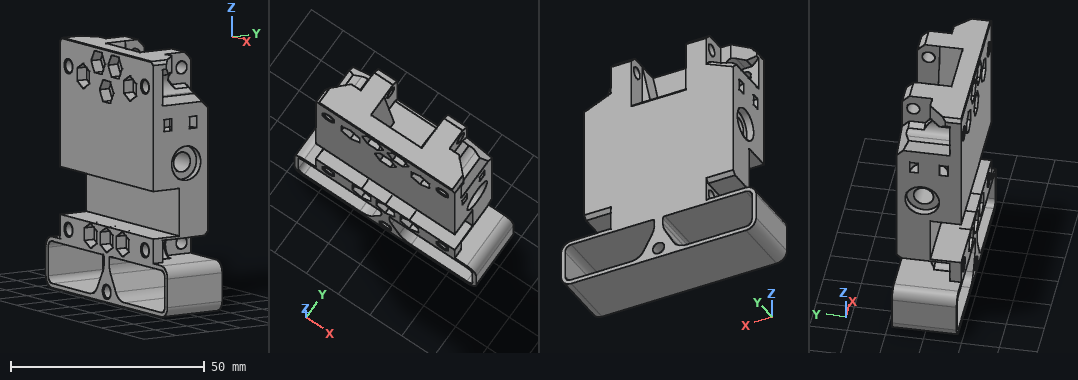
import cadquery as cq
import math

BODY_HALF_WIDTH = 21.9
DEPTH = 17.0
HEIGHT = 66.5
BODY_CORNER_CHAMFER = 0.9
FRONT_EDGE_CHAMFER = 0.2
BACK_EDGE_CHAMFER = 2.0

HANDLE_WIDTH = 57.2
HANDLE_HEIGHT = 13.5
HANDLE_RADIUS = 3.0
HANDLE_WALL = 1.2
RIB_HALF_WIDTH = 1.25
RIB_FLARE_Z = 8.9
RIB_FLARE_ANGLE = 61.0
RIB_FOOT_RADIUS = 4.3
RIB_FLARE_RADIUS = 5.0
RIB_TOP_RADIUS = 0.6

NOTCH_BOTTOM = 19.95
NOTCH_TOP = 32.45
NOTCH_DEPTH = 8.1

SCREW_X = 17.95
UPPER_SCREW_Z = 59.45
LOWER_SCREW_Z = 16.4
HANDLE_SCREW_Z = 2.8
SCREW_DIAMETER = 3.3
SCREW_RIM = 0.25
HEAD_RADIUS = 2.85
PLATE_THICKNESS = 3.0

POST_INNER_X = 8.0
POST_OUTER_X = 13.95
POST_FRONT_Y = 9.05
PIN_Y = 14.0
PIN_DIAMETER = 3.3
UPPER_PIN_Z = 62.5

SLOT_FRONT_Y = 5.05
SLOT_FLOOR_Z = 51.2
SLOT_STEP_Y = 11.05
SLOT_FLOOR_HALF_WIDTH = 4.85

LEAD_IN = 1.05

FLARE = 1.9
FLARE_X = BODY_HALF_WIDTH - FLARE
SHOULDER_POST_Z = 58.3
SHOULDER_FRONT_Y = 10.85
SHOULDER_RAMP_TOP_Z = 60.5
PLATE_BEVEL = 4.9

AXLE_Y = 10.25
AXLE_Z = 38.9
AXLE_DIAMETER = 5.2
AXLE_RECESS_DIAMETER = 9.0
AXLE_RECESS_DEPTH = 2.0
TIE_INNER_RADIUS = 2.8
TIE_OUTER_RADIUS = 5.05
TIE_BOTTOM = 47.9
TIE_HEIGHT = 3.1

NUT_FLATS = 5.7
NUT_DEPTH = 3.0
SIDE_NUT_SPACING = 7.5
UPRIGHT_NUTS = [
    (-11.0, 57.9), (11.0, 57.9),
    (-SIDE_NUT_SPACING, LOWER_SCREW_Z), (0, LOWER_SCREW_Z), (SIDE_NUT_SPACING, LOWER_SCREW_Z),
]
FLAT_NUTS = [(-4.0, 62.5), (4.0, 62.5), (0, 55.45)]

OVER = 3.3


def box(x0, x1, y0, y1, z0, z1):
    return cq.Workplane("XY").box(x1 - x0, y1 - y0, z1 - z0, centered=False).translate((x0, y0, z0))


def along_y(y0):
    """Sketch plane with local (x, y) = (X, Z); a negative extrusion runs towards +Y."""
    return cq.Workplane(cq.Plane(origin=(0, y0, 0), xDir=(1, 0, 0), normal=(0, -1, 0)))


def prism_y(points, y0, y1):
    return along_y(y0).polyline(points).close().extrude(y0 - y1)


def prism_x(points, x0, x1):
    """Prism over a (Y, Z) outline."""
    return cq.Workplane("YZ").workplane(offset=x0).polyline(points).close().extrude(x1 - x0)


def cylinder_y(x, z, radius, y0, y1):
    return along_y(y0).center(x, z).circle(radius).extrude(y0 - y1)


def both_sides(cutter):
    return cutter.union(cutter.mirror("YZ"))


def make_body():
    body = box(-BODY_HALF_WIDTH, BODY_HALF_WIDTH, 0, DEPTH, HANDLE_HEIGHT / 2, HEIGHT)
    body = body.edges("|Y and >Z").chamfer(BODY_CORNER_CHAMFER)
    body = body.faces(">Z").edges("<Y").chamfer(FRONT_EDGE_CHAMFER)
    body = body.faces(">Z").edges(">Y").chamfer(BACK_EDGE_CHAMFER)
    notch = box(-HANDLE_WIDTH, HANDLE_WIDTH, -OVER, NOTCH_DEPTH, NOTCH_BOTTOM, NOTCH_TOP)
    return body.cut(notch)


def make_handle():
    half = HANDLE_WIDTH / 2
    return box(-half, half, 0, DEPTH, 0, HANDLE_HEIGHT).edges("|Y").fillet(HANDLE_RADIUS)


def handle_windows():
    top = HANDLE_HEIGHT - HANDLE_WALL
    outer_x = HANDLE_WIDTH / 2 - HANDLE_WALL
    foot_x = RIB_HALF_WIDTH + (RIB_FLARE_Z - HANDLE_WALL) / math.tan(math.radians(RIB_FLARE_ANGLE))
    window = prism_y(
        [
            (RIB_HALF_WIDTH, top), (RIB_HALF_WIDTH, RIB_FLARE_Z), (foot_x, HANDLE_WALL),
            (outer_x, HANDLE_WALL), (outer_x, top),
        ],
        0, DEPTH,
    )
    window = window.edges("|Y and >X").fillet(HANDLE_RADIUS - HANDLE_WALL)
    rib_corners = [
        (foot_x, HANDLE_WALL, RIB_FOOT_RADIUS),
        (RIB_HALF_WIDTH, RIB_FLARE_Z, RIB_FLARE_RADIUS),
        (RIB_HALF_WIDTH, top, RIB_TOP_RADIUS),
    ]
    for x, z, radius in rib_corners:
        corner = cq.NearestToPointSelector((x, DEPTH / 2, z))
        window = window.edges(corner).fillet(radius)
    return both_sides(window)


def upper_screw_pockets():
    """Screw head room that opens sideways and flares at the side face."""
    head = cylinder_y(SCREW_X, UPPER_SCREW_Z, HEAD_RADIUS, PLATE_THICKNESS, DEPTH)
    end_x = FLARE_X + FLARE + OVER
    end_half = HEAD_RADIUS + FLARE + OVER
    opening = prism_y(
        [
            (SCREW_X, UPPER_SCREW_Z - HEAD_RADIUS), (FLARE_X, UPPER_SCREW_Z - HEAD_RADIUS),
            (end_x, UPPER_SCREW_Z - end_half), (end_x, UPPER_SCREW_Z + end_half),
            (FLARE_X, UPPER_SCREW_Z + HEAD_RADIUS), (SCREW_X, UPPER_SCREW_Z + HEAD_RADIUS),
        ],
        PLATE_THICKNESS, DEPTH + OVER,
    )
    return both_sides(head.union(opening))


def slanted_prism(outline, run, slope):
    """Prism over a (Y, Z) outline, from the outer face of a post outwards and down the slope."""
    face = cq.Workplane("YZ").workplane(offset=POST_OUTER_X).polyline(outline).close().wire().val()
    return cq.Workplane(cq.Solid.extrudeLinear(face, [], cq.Vector(run, 0, -run * slope)))


def shoulder_clearance():
    """Open space beside the upper posts; its floor slopes down to the screw pocket."""
    ledge_z = UPPER_SCREW_Z - HEAD_RADIUS
    slope = (SHOULDER_POST_Z - ledge_z) / (SCREW_X - POST_OUTER_X)

    outline = [
        (POST_FRONT_Y, HEIGHT + OVER), (POST_FRONT_Y, SHOULDER_RAMP_TOP_Z),
        (SHOULDER_FRONT_Y, SHOULDER_POST_Z), (DEPTH + OVER, SHOULDER_POST_Z),
        (DEPTH + OVER, HEIGHT + OVER),
    ]
    run = SCREW_X - POST_OUTER_X
    above = slanted_prism(outline, run, slope)
    outside = box(SCREW_X, BODY_HALF_WIDTH + OVER, POST_FRONT_Y, DEPTH + OVER, ledge_z, HEIGHT + OVER)

    bevel = [
        (DEPTH - BACK_EDGE_CHAMFER - FLARE, SHOULDER_POST_Z + FLARE),
        (DEPTH + OVER, SHOULDER_POST_Z - BACK_EDGE_CHAMFER - OVER),
        (DEPTH + OVER, SHOULDER_POST_Z + FLARE),
    ]
    back_bevel = slanted_prism(bevel, BODY_HALF_WIDTH - POST_OUTER_X + OVER, slope)
    return both_sides(above.union(outside).union(back_bevel))


def plate_bevels():
    """45 degree bevels behind the upper corners of the front plate."""
    inner_x = BODY_HALF_WIDTH - PLATE_BEVEL
    outer_x = BODY_HALF_WIDTH + OVER
    outline = [
        (inner_x, POST_FRONT_Y),
        (outer_x, POST_FRONT_Y - PLATE_BEVEL - OVER),
        (outer_x, POST_FRONT_Y),
    ]
    bevel = cq.Workplane("XY").workplane(offset=UPPER_SCREW_Z).polyline(outline).close()
    return both_sides(bevel.extrude(HEIGHT - UPPER_SCREW_Z))


def lower_screw_pockets():
    """Screw head room and open space beside the lower posts."""
    roof_z = LOWER_SCREW_Z + HEAD_RADIUS
    side = BODY_HALF_WIDTH + OVER
    post_gap = SCREW_X - POST_OUTER_X
    cone_length = post_gap - HEAD_RADIUS
    head = cylinder_y(SCREW_X, LOWER_SCREW_Z, HEAD_RADIUS, PLATE_THICKNESS, DEPTH)
    opening = box(SCREW_X, side, PLATE_THICKNESS, DEPTH, HANDLE_HEIGHT, roof_z)
    beside_post = box(POST_OUTER_X, side, POST_FRONT_Y, DEPTH, HANDLE_HEIGHT, roof_z)
    cone = cq.Workplane(
        cq.Solid.makeCone(
            HEAD_RADIUS, post_gap, cone_length,
            cq.Vector(SCREW_X, POST_FRONT_Y - cone_length, LOWER_SCREW_Z), cq.Vector(0, 1, 0),
        )
    )
    roof_bevel = prism_x(
        [(DEPTH, roof_z), (DEPTH - LEAD_IN, roof_z), (DEPTH, roof_z + LEAD_IN)],
        POST_OUTER_X, side,
    )
    space = box(0, side, 0, DEPTH, HANDLE_HEIGHT, roof_z)
    pocket = head.union(opening).union(beside_post).union(cone).intersect(space)
    return both_sides(pocket.union(roof_bevel))


def post_slot():
    back = box(-POST_INNER_X, POST_INNER_X, SLOT_STEP_Y, DEPTH, SLOT_FLOOR_Z, HEIGHT)
    front = prism_y(
        [
            (-SLOT_FLOOR_HALF_WIDTH, SLOT_FLOOR_Z), (SLOT_FLOOR_HALF_WIDTH, SLOT_FLOOR_Z),
            (POST_INNER_X, HEIGHT), (-POST_INNER_X, HEIGHT),
        ],
        SLOT_FRONT_Y, SLOT_STEP_Y,
    )
    lead_in = prism_x(
        [(DEPTH, SLOT_FLOOR_Z), (DEPTH - LEAD_IN, SLOT_FLOOR_Z), (DEPTH, SLOT_FLOOR_Z - LEAD_IN)],
        -POST_INNER_X, POST_INNER_X,
    )
    return back.union(front).union(lead_in)


def screw_hole(x, z):
    rim = cq.Solid.makeCone(
        SCREW_DIAMETER / 2 + SCREW_RIM, SCREW_DIAMETER / 2, SCREW_RIM,
        cq.Vector(x, 0, z), cq.Vector(0, 1, 0),
    )
    return cylinder_y(x, z, SCREW_DIAMETER / 2, 0, DEPTH).union(cq.Workplane(rim))


def hole_x(y, z, diameter, x0, x1):
    return cq.Workplane("YZ").workplane(offset=x0).center(y, z).circle(diameter / 2).extrude(x1 - x0)


def axle_hole():
    recess = hole_x(
        AXLE_Y, AXLE_Z, AXLE_RECESS_DIAMETER, BODY_HALF_WIDTH - AXLE_RECESS_DEPTH, BODY_HALF_WIDTH
    )
    bore = hole_x(AXLE_Y, AXLE_Z, AXLE_DIAMETER, -BODY_HALF_WIDTH, BODY_HALF_WIDTH)
    return bore.union(both_sides(recess))


def tie_channels():
    """Half-ring channels that enter and leave through the same side face."""
    ring = (
        cq.Workplane("XY").workplane(offset=TIE_BOTTOM).center(BODY_HALF_WIDTH, DEPTH / 2)
        .circle(TIE_OUTER_RADIUS).circle(TIE_INNER_RADIUS).extrude(TIE_HEIGHT)
    )
    return both_sides(ring)


def nut_pocket(x, z, first_corner_angle):
    """Hexagonal pocket; the angle is that of one corner, in degrees from the X axis."""
    corner_diameter = NUT_FLATS / math.cos(math.radians(30))
    nut = along_y(0).polygon(6, corner_diameter).extrude(-NUT_DEPTH)
    return nut.rotate((0, 0, 0), (0, 1, 0), first_corner_angle).translate((x, 0, z))


result = make_body().union(make_handle())
result = result.cut(handle_windows())
result = result.cut(post_slot())
result = result.cut(upper_screw_pockets())
result = result.cut(shoulder_clearance())
result = result.cut(plate_bevels())
result = result.cut(lower_screw_pockets())
result = result.cut(axle_hole())
result = result.cut(tie_channels())

for screw_z in (UPPER_SCREW_Z, LOWER_SCREW_Z):
    for screw_x in (-SCREW_X, SCREW_X):
        result = result.cut(screw_hole(screw_x, screw_z))
result = result.cut(screw_hole(0, HANDLE_SCREW_Z))

for pin_z in (UPPER_PIN_Z, LOWER_SCREW_Z):
    result = result.cut(hole_x(PIN_Y, pin_z, PIN_DIAMETER, -BODY_HALF_WIDTH, BODY_HALF_WIDTH))

for nut_x, nut_z in UPRIGHT_NUTS:
    result = result.cut(nut_pocket(nut_x, nut_z, 90))
for nut_x, nut_z in FLAT_NUTS:
    result = result.cut(nut_pocket(nut_x, nut_z, 0))